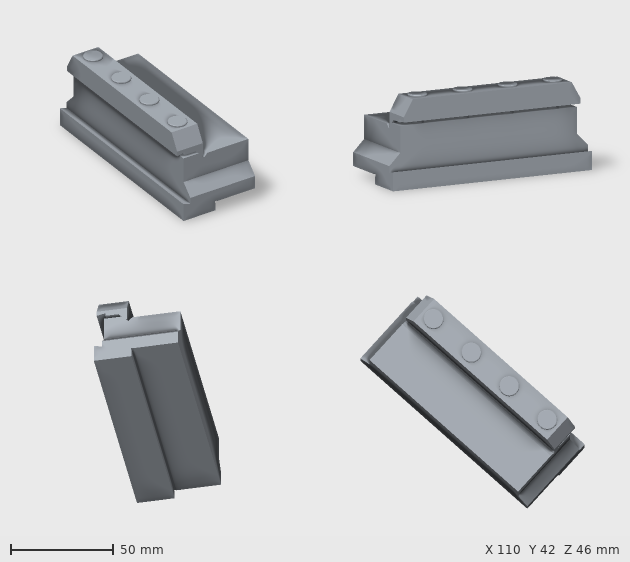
import cadquery as cq

length = 110.0
depth = 42.0
height = 46.0

foot_depth = 18.8
body_bottom = 5.0
body_top = 30.0
body_front = 4.0
rail_top = 9.6
rail_seat = 8.6
relief = 0.3
relief_length = 0.9

groove_back = 18.0
groove_depth = 2.0

clamp_front = 0.2
clamp_back = 15.3
clamp_top = 45.0
clamp_seat = 29.4
jaw_tip = 33.8
jaw_root = 34.8
jaw_back = 4.6

gap_bottom = 31.4
gap_top = 33.1
gap_back = 12.8

end_inset = 6.0
shoulder_bottom = 11.9
shoulder_top = shoulder_bottom + end_inset
clamp_end_inset = 5.0
clamp_end_bottom = 36.4

screw_count = 4
screw_pitch = 25.0
screw_y = 7.9
head_diameter = 9.9
head_chamfer = 0.3
shank_diameter = 5.9


def side_profile():
    """Constant YZ section of the block and clamp, extruded along X."""
    gap_height = gap_top - gap_bottom
    groove_bottom = body_top - groove_depth
    groove_y = groove_back - groove_depth
    groove_front = groove_y - (clamp_seat - groove_bottom)
    points = [
        (0, 0),
        (foot_depth, 0),
        (foot_depth, body_bottom - relief_length),
        (foot_depth - relief, body_bottom - relief_length + relief),
        (foot_depth - relief, body_bottom + relief),
        (foot_depth + relief_length - relief, body_bottom + relief),
        (foot_depth + relief_length, body_bottom),
        (depth, body_bottom),
        (depth, body_top),
        (groove_back, body_top),
        (groove_y, groove_bottom),
        (groove_front, clamp_seat),
        (clamp_back, clamp_seat),
        (clamp_back, clamp_top),
        (clamp_front, clamp_top),
        (clamp_front, jaw_tip),
        (jaw_back, jaw_root),
        (jaw_back, gap_top),
        (gap_back - gap_height, gap_top),
        (gap_back, gap_bottom),
        (body_front, gap_bottom),
        (body_front, rail_seat),
        (0, rail_top),
    ]
    return cq.Workplane("YZ").polyline(points).close().extrude(length / 2, both=True)


def end_envelope():
    """Front outline that narrows the section towards the top at both ends."""
    half = length / 2
    right_side = [
        (half, 0),
        (half, shoulder_bottom),
        (half - end_inset, shoulder_top),
        (half - end_inset, clamp_end_bottom),
        (half - end_inset - clamp_end_inset, clamp_top),
    ]
    left_side = [(-x, z) for x, z in reversed(right_side)]
    return cq.Workplane("XZ").polyline(right_side + left_side).close().extrude(-depth)


def screw(x):
    """Screw head on the clamp and shank bridging the gap below it."""
    head = (
        cq.Workplane("XY", origin=(x, screw_y, clamp_top))
        .circle(head_diameter / 2)
        .extrude(height - clamp_top)
        .faces(">Z")
        .chamfer(head_chamfer)
    )
    shank = (
        cq.Workplane("XY", origin=(x, screw_y, gap_bottom))
        .circle(shank_diameter / 2)
        .extrude(gap_top - gap_bottom)
    )
    return head, shank


result = side_profile().intersect(end_envelope())
for index in range(screw_count):
    screw_x = (index - (screw_count - 1) / 2) * screw_pitch
    screw_head, screw_shank = screw(screw_x)
    result = result.union(screw_head).union(screw_shank)